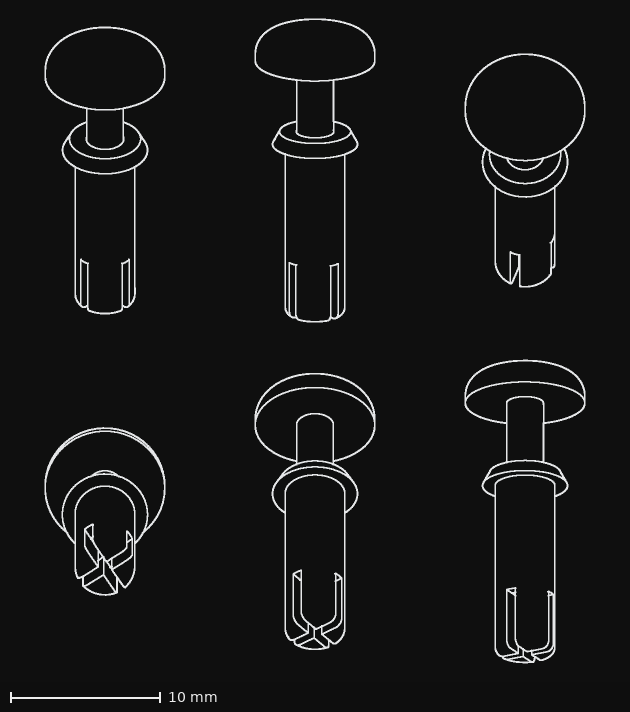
import cadquery as cq

total_height = 19.9

head_diameter = 8.0
head_height = 1.99
head_round = 1.5
shank_diameter = 2.47

sleeve_diameter = 4.0
bore_diameter = 2.5
flange_top_diameter = 4.75
flange_bottom_diameter = 5.7
flange_height = 0.9
flange_gap = 5.0
tip_round = 0.5
slot_width = 0.65
slot_height = 4.0

head_bottom = total_height - head_height
sleeve_top = head_bottom - flange_gap
flange_bottom = sleeve_top - flange_height
bore_bottom = slot_height


def make_pin():
    """Round-edged head on a plain shank that reaches down to the slots."""
    head = (
        cq.Workplane("XY", origin=(0, 0, head_bottom))
        .circle(head_diameter / 2)
        .extrude(head_height)
        .faces(">Z")
        .edges()
        .fillet(head_round)
    )
    shank = (
        cq.Workplane("XY", origin=(0, 0, bore_bottom))
        .circle(shank_diameter / 2)
        .extrude(head_bottom - bore_bottom)
    )
    return head.union(shank)


def make_sleeve():
    """Conical flange on a bored tube whose tip is split by two crossed slots."""
    barrel = (
        cq.Workplane("XY")
        .circle(sleeve_diameter / 2)
        .extrude(flange_bottom)
        .faces("<Z")
        .edges()
        .fillet(tip_round)
    )
    flange = (
        cq.Workplane("XY", origin=(0, 0, flange_bottom))
        .circle(flange_bottom_diameter / 2)
        .workplane(offset=flange_height)
        .circle(flange_top_diameter / 2)
        .loft()
    )
    bore = (
        cq.Workplane("XY", origin=(0, 0, bore_bottom))
        .circle(bore_diameter / 2)
        .extrude(sleeve_top - bore_bottom)
    )
    sleeve = barrel.union(flange).cut(bore)

    slot = cq.Workplane("XY").box(
        sleeve_diameter, slot_width, slot_height, centered=(True, True, False)
    )
    for angle in (0, 90):
        sleeve = sleeve.cut(slot.rotate((0, 0, 0), (0, 0, 1), angle))
    return sleeve


pin = make_pin()
sleeve = make_sleeve()

result = cq.Compound.makeCompound([pin.val(), sleeve.val()])